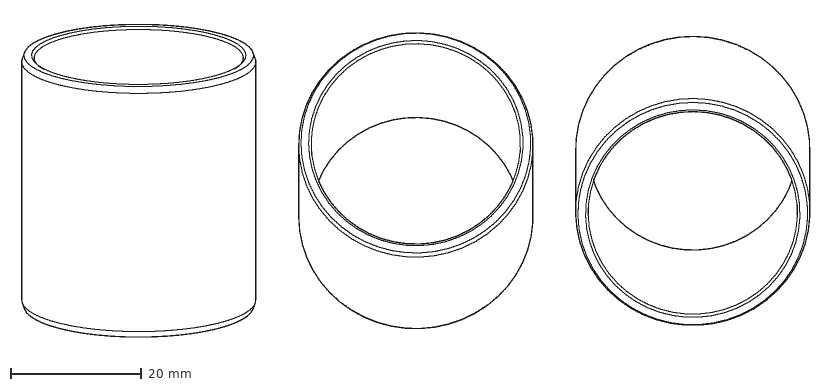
import cadquery as cq
import math

length = 40.0
outer_diameter = 36.0
bore_diameter = 32.1

outer_chamfer_length = 1.0
outer_chamfer_angle = 20.0
bore_chamfer = 0.4

outer_radius = outer_diameter / 2
bore_radius = bore_diameter / 2
half_length = length / 2
outer_chamfer_depth = outer_chamfer_length * math.tan(math.radians(outer_chamfer_angle))

wall_section = (
    cq.Workplane("YZ")
    .moveTo(-bore_radius, bore_chamfer - half_length)
    .lineTo(-bore_radius - bore_chamfer, -half_length)
    .lineTo(outer_chamfer_depth - outer_radius, -half_length)
    .lineTo(-outer_radius, outer_chamfer_length - half_length)
    .lineTo(-outer_radius, half_length - outer_chamfer_length)
    .lineTo(outer_chamfer_depth - outer_radius, half_length)
    .lineTo(-bore_radius - bore_chamfer, half_length)
    .lineTo(-bore_radius, half_length - bore_chamfer)
    .close()
)
result = wall_section.revolve(360, (0, 0), (0, 1))